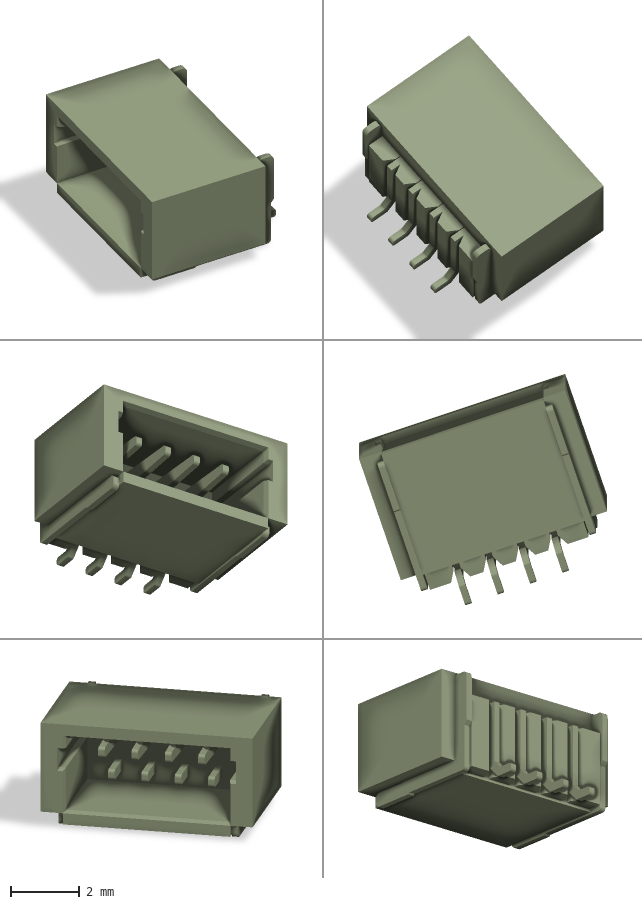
import cadquery as cq
import math


HOUSING_WIDTH = 6.36
HOUSING_DEPTH = 3.8
HOUSING_TOP = 3.2
HOUSING_BOTTOM = 0.45

BASE_WIDTH = 5.0
BASE_BOTTOM = 0.11

LEAD_IN = 0.05
LEAD_IN_DEPTH = 0.2
CAVITY_WIDTH = 4.92
CAVITY_FLOOR = HOUSING_BOTTOM + LEAD_IN
CAVITY_CEILING = 2.8
CAVITY_DEPTH = 3.0
KEYWAY_SPAN = 5.355
KEYWAY_LOW = 1.8
KEYWAY_HIGH = 2.405

REAR_BLOCK_WIDTH = 4.9
REAR_BLOCK_DEPTH = 0.5
REAR_BLOCK_BOTTOM = 0.19
PIN_SLOT_WIDTH = 0.22
SLOT_MOUTH_WIDTH = 0.6
SLOT_STRAIGHT_DEPTH = 0.17

PIN_COUNT = 4
PITCH = 1.0
SHEET_THICKNESS = 0.2
PIN_OFFSET = -(PIN_SLOT_WIDTH - SHEET_THICKNESS) / 2

UPPER_PRONG_TIP_Y = 0.7
UPPER_PRONG_MIDDLE = 2.16
UPPER_PRONG_ROOT_HEIGHT = 0.52
UPPER_PRONG_TIP_HEIGHT = 0.305
LOWER_PRONG_TIP_Y = 2.0
LOWER_PRONG_BOTTOM = 0.885
LOWER_PRONG_TOP = 1.195
PRONG_ROUNDING = 0.1

PIN_STRIP = 0.26
FOOT_BOTTOM = 0.045
FOOT_END_Y = 5.05
FOOT_BEND_Z = 0.56
FOOT_ROUNDING = 0.09

TAB_INNER_X = BASE_WIDTH / 2
TAB_TOP = 3.105
TAB_FRONT_Y = 0.235
TAB_REAR_Y = 4.35
TAB_NARROW_REAR_Y = 4.25
TAB_REAR_STEP_LOW = 1.44
TAB_REAR_STEP_HIGH = 1.57
TAB_HEEL_BOTTOM = FOOT_BOTTOM
TAB_TOE_STEP_Y = 1.755
TAB_CLEARANCE = 0.02
TAB_REAR_CONTACT_Z = 1.24
TAB_BOTTOM_CONTACT_Y = 1.44
TAB_ROUNDING = 0.15
TAB_HEEL_ROUNDING = 0.1

LEG_REAR_Y = HOUSING_DEPTH + REAR_BLOCK_DEPTH
LEG_FRONT_Y = LEG_REAR_Y - PIN_STRIP
UPPER_PRONG_BOTTOM = UPPER_PRONG_MIDDLE - UPPER_PRONG_ROOT_HEIGHT / 2
UPPER_PRONG_TOP = UPPER_PRONG_MIDDLE + UPPER_PRONG_ROOT_HEIGHT / 2
PICK_REACH = 0.003
SLOT_XS = [(i - (PIN_COUNT - 1) / 2) * PITCH for i in range(PIN_COUNT)]
PIN_XS = [x + PIN_OFFSET for x in SLOT_XS]


def block(x_range, y_range, z_range):
    """Axis-aligned box between the given limits."""
    size = [high - low for low, high in (x_range, y_range, z_range)]
    corner = (x_range[0], y_range[0], z_range[0])
    return cq.Workplane("XY").box(*size, centered=False).translate(corner)


def centred_range(width, middle=0.0):
    return (middle - width / 2, middle + width / 2)


def sheet_plate(outline):
    """Plate of sheet thickness from a closed (Y, Z) outline, centred on X = 0."""
    return cq.Workplane("YZ").polyline(outline).close().extrude(SHEET_THICKNESS / 2, both=True)


def round_corners(plate, corners, radius):
    """Round the plate edges that run along X through the given (Y, Z) corners."""
    for y, z in corners:
        low = (-SHEET_THICKNESS, y - PICK_REACH, z - PICK_REACH)
        high = (SHEET_THICKNESS, y + PICK_REACH, z + PICK_REACH)
        picker = cq.selectors.BoxSelector(low, high)
        plate = plate.edges("|X").edges(picker).fillet(radius)
    return plate


def tapered_mouth(x_span, low, high):
    """Rectangular lead-in, narrowing from the front face to the given section."""
    height = high - low
    front_plane = cq.Workplane("XZ").center(0, (low + high) / 2)
    wide = front_plane.rect(x_span + 2 * LEAD_IN, height + 2 * LEAD_IN)
    return wide.workplane(offset=-LEAD_IN_DEPTH).rect(x_span, height).loft(ruled=True)


def make_cavity():
    depth = (0, CAVITY_DEPTH)
    main = block(centred_range(CAVITY_WIDTH), depth, (CAVITY_FLOOR, CAVITY_CEILING))
    keyways = block(centred_range(KEYWAY_SPAN), depth, (KEYWAY_LOW, KEYWAY_HIGH))
    main_mouth = tapered_mouth(CAVITY_WIDTH, CAVITY_FLOOR, CAVITY_CEILING)
    keyway_mouth = tapered_mouth(KEYWAY_SPAN, KEYWAY_LOW, KEYWAY_HIGH)
    between_bottoms = block(
        centred_range(KEYWAY_SPAN), (0, LEAD_IN_DEPTH), (HOUSING_BOTTOM, HOUSING_TOP)
    )
    keyway_mouth = keyway_mouth.intersect(between_bottoms)
    return main.union(keyways).union(main_mouth).union(keyway_mouth)


def make_pin_slot(x):
    """Vertical slot through the rear block, flaring into a V at the back."""
    flare_start = HOUSING_DEPTH + SLOT_STRAIGHT_DEPTH
    outline = [
        (x - PIN_SLOT_WIDTH / 2, HOUSING_DEPTH),
        (x - PIN_SLOT_WIDTH / 2, flare_start),
        (x - SLOT_MOUTH_WIDTH / 2, LEG_REAR_Y),
        (x + SLOT_MOUTH_WIDTH / 2, LEG_REAR_Y),
        (x + PIN_SLOT_WIDTH / 2, flare_start),
        (x + PIN_SLOT_WIDTH / 2, HOUSING_DEPTH),
    ]
    return cq.Workplane("XY").polyline(outline).close().extrude(HOUSING_TOP)


def make_prong_holes(x):
    """Two holes through the rear wall that fit the prongs of one pin."""
    width = centred_range(SHEET_THICKNESS, x)
    wall = (CAVITY_DEPTH, HOUSING_DEPTH)
    upper = block(width, wall, (UPPER_PRONG_BOTTOM, UPPER_PRONG_TOP))
    lower = block(width, wall, (LOWER_PRONG_BOTTOM, LOWER_PRONG_TOP))
    return upper, lower


def make_housing():
    depth = (0, HOUSING_DEPTH)
    shell = block(centred_range(HOUSING_WIDTH), depth, (HOUSING_BOTTOM, HOUSING_TOP))
    base = block(centred_range(BASE_WIDTH), depth, (BASE_BOTTOM, HOUSING_BOTTOM))
    rear_block = block(
        centred_range(REAR_BLOCK_WIDTH),
        (HOUSING_DEPTH, LEG_REAR_Y),
        (REAR_BLOCK_BOTTOM, UPPER_PRONG_TOP),
    )
    for x in SLOT_XS:
        rear_block = rear_block.cut(make_pin_slot(x))
    housing = shell.union(base).union(rear_block).cut(make_cavity())
    for x in PIN_XS:
        for hole in make_prong_holes(x):
            housing = housing.cut(hole)
    return housing


def make_pin(x):
    """Forked contact: two prongs on a vertical leg that ends in a cranked foot."""
    foot_top = FOOT_BOTTOM + PIN_STRIP
    upper_bend = (LEG_REAR_Y + FOOT_BEND_Z - foot_top, foot_top)
    crank_drop = PIN_STRIP * math.sqrt(2)
    lower_bend = (LEG_REAR_Y + FOOT_BEND_Z - crank_drop - FOOT_BOTTOM, FOOT_BOTTOM)
    leg_corner = (LEG_FRONT_Y, FOOT_BEND_Z - crank_drop + PIN_STRIP)

    upper_tip_low = (UPPER_PRONG_TIP_Y, UPPER_PRONG_MIDDLE - UPPER_PRONG_TIP_HEIGHT / 2)
    upper_tip_high = (UPPER_PRONG_TIP_Y, UPPER_PRONG_MIDDLE + UPPER_PRONG_TIP_HEIGHT / 2)
    lower_tip_low = (LOWER_PRONG_TIP_Y, LOWER_PRONG_BOTTOM)
    lower_tip_high = (LOWER_PRONG_TIP_Y, LOWER_PRONG_TOP)
    foot_end_low = (FOOT_END_Y, FOOT_BOTTOM)
    foot_end_high = (FOOT_END_Y, foot_top)

    outline = [
        (LEG_REAR_Y, UPPER_PRONG_TOP),
        (CAVITY_DEPTH, UPPER_PRONG_TOP),
        upper_tip_high,
        upper_tip_low,
        (CAVITY_DEPTH, UPPER_PRONG_BOTTOM),
        (LEG_FRONT_Y, UPPER_PRONG_BOTTOM),
        (LEG_FRONT_Y, LOWER_PRONG_TOP),
        lower_tip_high,
        lower_tip_low,
        (LEG_FRONT_Y, LOWER_PRONG_BOTTOM),
        leg_corner,
        lower_bend,
        foot_end_low,
        foot_end_high,
        upper_bend,
        (LEG_REAR_Y, FOOT_BEND_Z),
    ]
    prong_corners = [upper_tip_high, upper_tip_low, lower_tip_high, lower_tip_low]
    foot_corners = [foot_end_low, foot_end_high, upper_bend, lower_bend]
    pin = round_corners(sheet_plate(outline), prong_corners, PRONG_ROUNDING)
    pin = round_corners(pin, foot_corners, FOOT_ROUNDING)
    return pin.translate((x, 0, 0))


def make_tab(side):
    """L-shaped solder tab under and behind the housing; side is -1 or 1 along X."""
    free_rear_y = HOUSING_DEPTH + TAB_CLEARANCE
    toe_top = HOUSING_BOTTOM - TAB_CLEARANCE
    toe_high = (TAB_FRONT_Y, toe_top)
    toe_low = (TAB_FRONT_Y, 0)
    head_front = (free_rear_y, TAB_TOP)
    head_rear = (TAB_REAR_Y, TAB_TOP)
    heel = (TAB_NARROW_REAR_Y, TAB_HEEL_BOTTOM)
    outline = [
        toe_low,
        (TAB_TOE_STEP_Y - TAB_HEEL_BOTTOM, 0),
        (TAB_TOE_STEP_Y, TAB_HEEL_BOTTOM),
        heel,
        (TAB_NARROW_REAR_Y, TAB_REAR_STEP_LOW),
        (TAB_REAR_Y, TAB_REAR_STEP_HIGH),
        head_rear,
        head_front,
        (free_rear_y, TAB_REAR_CONTACT_Z),
        (HOUSING_DEPTH, TAB_REAR_CONTACT_Z),
        (HOUSING_DEPTH, HOUSING_BOTTOM),
        (TAB_BOTTOM_CONTACT_Y, HOUSING_BOTTOM),
        (TAB_BOTTOM_CONTACT_Y, toe_top),
        toe_high,
    ]
    tab = round_corners(sheet_plate(outline), [toe_low, toe_high, head_front, head_rear], TAB_ROUNDING)
    tab = round_corners(tab, [heel], TAB_HEEL_ROUNDING)
    return tab.translate((side * (TAB_INNER_X + SHEET_THICKNESS / 2), 0, 0))


housing = make_housing()
pins = [make_pin(x) for x in PIN_XS]
tabs = [make_tab(side) for side in (-1, 1)]

result = cq.Compound.makeCompound([housing.val(), *[body.val() for body in pins + tabs]])